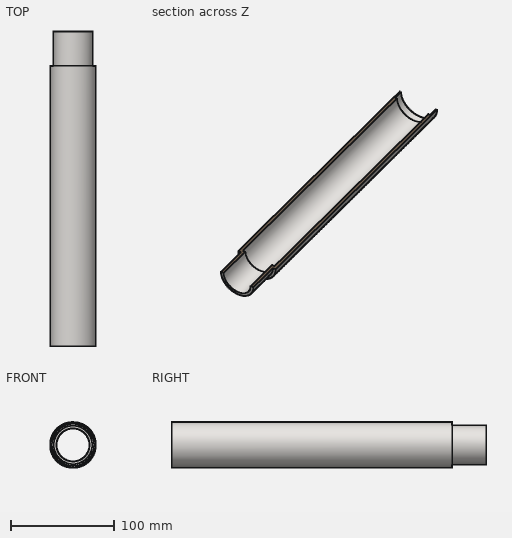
import cadquery as cq

total_length = 304.8
body_diameter = 44.5
spigot_diameter = 38.5
spigot_length = 33.2
socket_diameter = 40.8
socket_depth = 9.5
body_bore_diameter = 37.2
spigot_bore_diameter = 31.7

front_y = -total_length / 2
back_y = total_length / 2
shoulder_y = back_y - spigot_length
socket_floor_y = front_y + socket_depth

spigot_wall = (spigot_diameter - spigot_bore_diameter) / 2
body_bore_end_y = shoulder_y - spigot_wall


def cylinder_along_y(diameter, start_y, end_y):
    """Solid cylinder on the Y axis between two stations."""
    base = cq.Workplane("XZ", origin=(0, start_y, 0))
    return base.circle(diameter / 2).extrude(start_y - end_y)


body = cylinder_along_y(body_diameter, front_y, shoulder_y)
spigot = cylinder_along_y(spigot_diameter, shoulder_y, back_y)

socket = cylinder_along_y(socket_diameter, front_y, socket_floor_y)
body_bore = cylinder_along_y(body_bore_diameter, front_y, body_bore_end_y)
spigot_bore = cylinder_along_y(spigot_bore_diameter, front_y, back_y)

result = body.union(spigot).cut(socket).cut(body_bore).cut(spigot_bore)